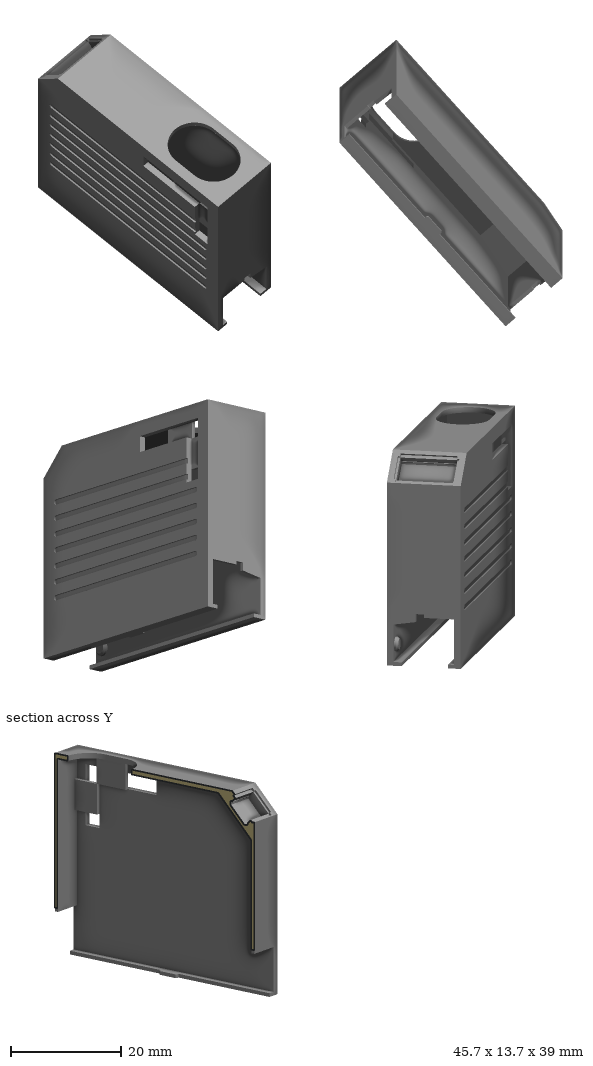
import cadquery as cq
import math

length = 45.72
width = 13.7
height = 39.0
bevel = 5.06
side_wall = 1.2
end_wall = 0.7
top_wall = 1.0
mid_y = width / 2

lip_height = 0.7
front_lip_reach = 2.33
back_lip_reach = 2.75
lip_tab_reach = 0.63
lip_tab_length = 4.0
lip_tab_chamfer = 0.2

opening_front_height = 9.14
opening_notch_height = 9.78
opening_slope_high = 8.3
opening_slope_low = 7.64
notch_front_y = 6.8
notch_back_y = 8.35

stud_x = 1.85
stud_z = 3.66
stud_diameter = 2.65
stud_length = 0.72
stud_chamfer = 0.35

hole_center_x = 35.4
hole_center_y = 6.9
hole_length = 14.6
hole_width = 9.8

groove_count = 7
groove_pitch = 3.0
groove_width = 1.0
groove_depth = 0.3
groove_start_x = 2.95
groove_end_x = 42.75
groove_bottom_z = 10.7

window_start_x = 26.75
window_end_x = 43.0
window_top_z = 36.1
window_arm_z = 33.1
window_bottom_z = 24.6
window_arm_x = 39.8
pad_thickness = 0.74
upper_pad_start_x = 33.25
upper_pad_end_x = 39.9
lower_pad_bottom_z = 27.3

label_margin = 0.2
recess_length = 6.15
recess_side_width = 11.4
pocket_length = 4.95
pocket_width = 10.6
recess_depth = 0.4
pocket_depth = 2.2
pocket_floor_chamfer = 0.25
snap_groove_start = 1.45
snap_groove_width = 0.35
snap_groove_depth = 0.15
pocket_floor_wall = 0.8


def block(x0, x1, y0, y1, z0, z1):
    return cq.Workplane("XY").box(x1 - x0, y1 - y0, z1 - z0, centered=False).translate((x0, y0, z0))


def beveled_block(x0, x1, y0, y1, z0, z1, bevel_leg):
    return block(x0, x1, y0, y1, z0, z1).edges("<X and >Z").chamfer(bevel_leg)


def make_cavity():
    """Inner space, its corner bevelled to leave a floor under the label pocket."""
    floor_offset = (pocket_depth + pocket_floor_wall) * math.sqrt(2)
    inner_bevel = bevel + floor_offset - end_wall - top_wall
    return beveled_block(
        end_wall, length - end_wall, side_wall, width - side_wall, lip_height, height - top_wall, inner_bevel
    )


def make_bottom_slot():
    """Gap between the lips, open along the full length."""
    return block(0, length, front_lip_reach, width - back_lip_reach, 0, lip_height)


def make_end_opening():
    """Stepped and sloped profile that passes through both end walls."""
    back_y = width - side_wall
    return (
        cq.Workplane("YZ")
        .moveTo(side_wall, lip_height)
        .lineTo(side_wall, opening_front_height)
        .lineTo(notch_front_y, opening_front_height)
        .lineTo(notch_front_y, opening_notch_height)
        .lineTo(notch_back_y, opening_notch_height)
        .lineTo(notch_back_y, opening_slope_high)
        .lineTo(back_y, opening_slope_low)
        .lineTo(back_y, lip_height)
        .close()
        .extrude(length)
    )


def make_top_hole():
    return (
        cq.Workplane("XY", origin=(hole_center_x, hole_center_y, height - top_wall))
        .slot2D(hole_length, hole_width)
        .extrude(top_wall)
    )


def make_grooves():
    groove_length = groove_end_x - groove_start_x
    groove_center_x = (groove_start_x + groove_end_x) / 2
    centers = [(groove_center_x, groove_bottom_z + i * groove_pitch) for i in range(groove_count)]
    return (
        cq.Workplane("XZ")
        .pushPoints(centers)
        .slot2D(groove_length, groove_width)
        .extrude(-groove_depth)
    )


def make_window():
    horizontal_arm = block(window_start_x, window_end_x, 0, side_wall, window_arm_z, window_top_z)
    vertical_arm = block(window_arm_x, window_end_x, 0, side_wall, window_bottom_z, window_top_z)
    return horizontal_arm.union(vertical_arm)


def make_window_pads():
    """Pads on the cavity side of the window, joined to the top and to the +X wall."""
    back_y = side_wall + pad_thickness
    upper_pad = block(upper_pad_start_x, upper_pad_end_x, side_wall, back_y, window_arm_z, height - top_wall)
    lower_pad = block(window_arm_x, length - end_wall, side_wall, back_y, lower_pad_bottom_z, window_arm_z)
    return upper_pad.union(lower_pad)


def make_stud():
    return (
        cq.Workplane("XZ", origin=(stud_x, width - side_wall, stud_z))
        .circle(stud_diameter / 2)
        .extrude(stud_length)
        .faces("<Y")
        .chamfer(stud_chamfer)
    )


def make_lip_tab():
    """Small tab on the front lip, halfway along its length."""
    start_x = (length - lip_tab_length) / 2
    tab_end_y = front_lip_reach + lip_tab_reach
    tab = block(start_x, start_x + lip_tab_length, side_wall, tab_end_y, 0, lip_height)
    return tab.edges("|Z and >Y").chamfer(lip_tab_chamfer)


def make_label_pocket():
    """Cross-shaped recess over a deeper pocket with grooved long walls and chamfered long floor edges."""
    center_up_bevel = label_margin + recess_length / 2
    center_offset = center_up_bevel / math.sqrt(2)
    plane = cq.Plane(
        origin=(center_offset, mid_y, height - bevel + center_offset), xDir=(0, -1, 0), normal=(-1, 0, 1)
    )
    recess = cq.Workplane(plane).rect(pocket_width, recess_length).extrude(-recess_depth)
    side_recess = cq.Workplane(plane).rect(recess_side_width, pocket_length).extrude(-recess_depth)
    pocket = (
        cq.Workplane(plane)
        .rect(pocket_width, pocket_length)
        .extrude(-pocket_depth)
        .faces(cq.selectors.DirectionMinMaxSelector(cq.Vector(-1, 0, 1), False))
        .edges("|Y")
        .chamfer(pocket_floor_chamfer)
    )
    snap_grooves = (
        cq.Workplane(plane)
        .workplane(offset=-snap_groove_start)
        .rect(pocket_width, pocket_length + 2 * snap_groove_depth)
        .extrude(-snap_groove_width)
    )
    return recess.union(side_recess).union(pocket).union(snap_grooves)


shell = beveled_block(0, length, 0, width, 0, height, bevel)
shell = shell.cut(make_cavity()).cut(make_bottom_slot()).cut(make_end_opening())
shell = shell.cut(make_top_hole()).cut(make_grooves()).cut(make_window()).cut(make_label_pocket())
result = shell.union(make_window_pads()).union(make_stud()).union(make_lip_tab())